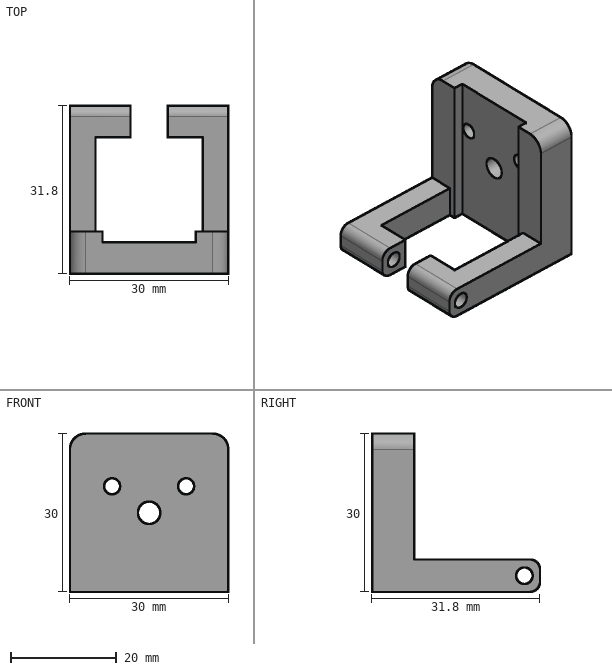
import cadquery as cq

width = 30.0
length = 31.8
height = 30.0

plate_thickness = 8.0
plate_corner_radius = 3.0
recess_width = 17.6
recess_depth = 2.0

arm_width = 4.9
arm_height = 6.2
lug_width = 11.5
lug_length = 6.0
lug_corner_radius = 2.0

center_hole_diameter = 4.2
center_hole_height = height / 2
screw_hole_diameter = 3.0
screw_hole_spacing = 14.0
screw_hole_height = 20.0
pin_hole_diameter = 3.1
pin_hole_end_distance = 3.0


def box(size_x, size_y, size_z, x, y):
    """Box standing on the base plane, centred in X on x and starting at y."""
    return (
        cq.Workplane("XY")
        .box(size_x, size_y, size_z, centered=(True, False, False))
        .translate((x, y, 0))
    )


def make_plate():
    """Plate with rounded top corners and a full-height recess in its rear face."""
    plate = box(width, plate_thickness, height, 0, 0)
    plate = plate.edges("|Y and >Z").fillet(plate_corner_radius)
    recess = box(recess_width, recess_depth, height, 0, plate_thickness - recess_depth)
    return plate.cut(recess)


def make_arm(side):
    """Arm and rounded lug; side is -1 for the left and 1 for the right."""
    arm_start = plate_thickness - recess_depth
    arm = box(arm_width, length - arm_start, arm_height, side * (width - arm_width) / 2, arm_start)
    lug = box(lug_width, lug_length, arm_height, side * (width - lug_width) / 2, length - lug_length)
    return arm.union(lug).edges("|X and >Y").fillet(lug_corner_radius)


def plate_hole(diameter, x, z):
    """Cylinder along Y through the plate."""
    return (
        cq.Workplane("XZ")
        .center(x, z)
        .circle(diameter / 2)
        .extrude(-plate_thickness)
    )


bracket = make_plate()
for side in (-1, 1):
    bracket = bracket.union(make_arm(side))

bracket = bracket.cut(plate_hole(center_hole_diameter, 0, center_hole_height))
for side in (-1, 1):
    screw_x = side * screw_hole_spacing / 2
    bracket = bracket.cut(plate_hole(screw_hole_diameter, screw_x, screw_hole_height))

pin_hole = (
    cq.Workplane("YZ")
    .center(length - pin_hole_end_distance, arm_height / 2)
    .circle(pin_hole_diameter / 2)
    .extrude(width / 2, both=True)
)

result = bracket.cut(pin_hole)